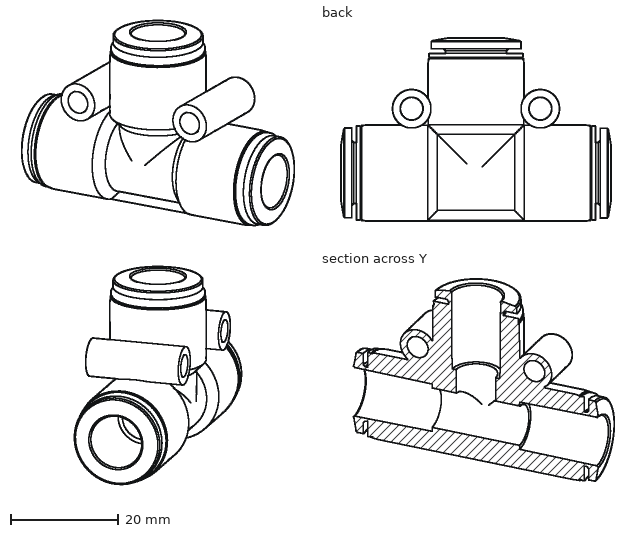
import cadquery as cq


leg_length = 25.2
body_radius = 18.0 / 2
core_radius = 14.4 / 2
body_start_at = body_radius
cone_start_at = core_radius

taper_start_at = 20.25
body_end_at = 21.3
taper_radius = body_radius - 0.13

ring_radius = 17.6 / 2
gap_radius = ring_radius - 0.1
ring_start_at = 21.6
ring_end_at = 22.3
ring_rounding = 0.15

neck_radius = 11.4 / 2
neck_flare = 0.35
collar_start_at = 23.15
collar_radius = 16.8 / 2
collar_side_end_at = 24.45
dome_radius = collar_radius - 0.3
dome_start_at = 24.7

bore_radius = 8.1 / 2
tube_radius = 10.0 / 2
tube_stop_radius = tube_radius - 0.13
tube_stop_at = body_start_at
mouth_chamfer = 0.3

lug_offset = 12.0
lug_length = 18.2
lug_radius = 7.2 / 2
lug_hole_radius = 4.2 / 2

seam_angle = 45.0

corner_web_thickness = 1.8
bottom_web_thickness = 3.6


def in_all_legs(upright):
    """The upright solid joined with its copies turned to +X and -X."""
    legs = upright
    for angle in (90, -90):
        legs = legs.union(upright.rotate((0, 0, 0), (0, 1, 0), angle))
    return legs


def leg_solid():
    """One leg without its bore: core, cone, body, ring, neck and collar."""
    profile = (
        cq.Workplane("XZ")
        .lineTo(core_radius, 0)
        .lineTo(core_radius, cone_start_at)
        .lineTo(body_radius, body_start_at)
        .lineTo(body_radius, taper_start_at)
        .lineTo(taper_radius, body_end_at)
        .lineTo(gap_radius, body_end_at)
        .lineTo(gap_radius, ring_start_at)
        .lineTo(ring_radius - ring_rounding, ring_start_at)
        .radiusArc((ring_radius, ring_start_at + ring_rounding), -ring_rounding)
        .lineTo(ring_radius, ring_end_at - ring_rounding)
        .radiusArc((ring_radius - ring_rounding, ring_end_at), -ring_rounding)
        .lineTo(neck_radius, ring_end_at)
        .lineTo(neck_radius, collar_start_at - neck_flare)
        .lineTo(neck_radius + neck_flare, collar_start_at)
        .lineTo(collar_radius, collar_start_at)
        .lineTo(collar_radius, collar_side_end_at)
        .lineTo(dome_radius, dome_start_at)
        .lineTo(tube_radius + mouth_chamfer, leg_length)
        .lineTo(0, leg_length)
        .close()
    )
    leg = profile.revolve(360, (0, 0), (0, 1))
    return leg.rotate((0, 0, 0), (0, 0, 1), seam_angle)


def leg_bore():
    """Through bore, tube socket and chamfered mouth of one leg."""
    profile = [
        (0, 0),
        (bore_radius, 0),
        (bore_radius, tube_stop_at),
        (tube_stop_radius, tube_stop_at),
        (tube_radius, leg_length - mouth_chamfer),
        (tube_radius + mouth_chamfer, leg_length),
        (0, leg_length),
    ]
    return cq.Workplane("XZ").polyline(profile).close().revolve(360, (0, 0), (0, 1))


def lug_cylinder(side, radius):
    """Cylinder along Y on the axis of the lug at side -1 or +1."""
    return (
        cq.Workplane("XZ", origin=(0, lug_length / 2, 0))
        .center(side * lug_offset, lug_offset)
        .circle(radius)
        .extrude(lug_length)
    )


def corner_web():
    """Flat web that fills the two corners between the legs and the lugs."""
    return cq.Workplane("XY").box(
        2 * lug_offset, corner_web_thickness, lug_offset, centered=(True, True, False)
    )


def bottom_web():
    """Rib below the core, following the round outline of the bodies."""
    round_bar = cq.Workplane("YZ").circle(body_radius).extrude(body_start_at, both=True)
    slab = cq.Workplane("XY").box(
        2 * body_start_at, bottom_web_thickness, body_radius, centered=(True, True, False)
    ).translate((0, 0, -body_radius))
    return round_bar.intersect(slab)


body = in_all_legs(leg_solid())
for lug_side in (-1, 1):
    body = body.union(lug_cylinder(lug_side, lug_radius))
body = body.union(corner_web()).union(bottom_web())
for lug_side in (-1, 1):
    body = body.cut(lug_cylinder(lug_side, lug_hole_radius))
result = body.cut(in_all_legs(leg_bore()))